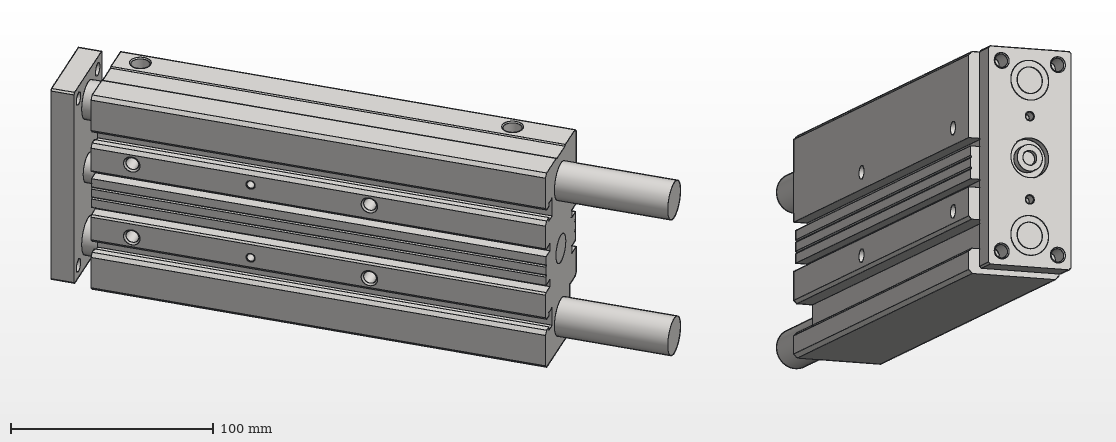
import cadquery as cq
import math


total_length = 318.0
body_width = 48.0
body_height = 112.0
body_start = 21.5
body_end = 259.0
body_chamfer = 2.0
body_length = body_end - body_start
half_width = body_width / 2
half_height = body_height / 2

top_recess_width = 14.0
top_recess_depth = 0.5

t_slot_z = 31.5
t_slot_mouth = 6.5
t_slot_inside = 10.2
t_slot_lip = 5.5
t_slot_depth = 10.5
t_slot_chamfer = 2.0

wide_slot_z = -36.0
wide_slot_width = 14.5
wide_slot_depth = 10.0
wide_slot_chamfer = 1.5

band_height = 16.5
band_setback = 1.0
v_groove_z = 3.0
v_groove_depth = 0.5
sensor_groove_width = 4.0
sensor_groove_depth = 7.0
sensor_groove_chamfer = 1.0
sensor_groove_z = (band_height + sensor_groove_width) / 2

side_hole_z = 21.0
mount_hole_x = (43.0, 167.0)
mount_hole_diameter = 6.7
mount_hole_mouth = 8.5
pin_hole_x = sum(mount_hole_x) / 2
pin_hole_diameter = 4.0
pin_hole_mouth = 4.8
pin_hole_depth = 6.0

port_x = (34.5, 228.5)
port_y = 15.0
port_diameter = 9.5
port_mouth = 10.8
port_depth = 8.0
port_passage_diameter = 3.8
port_passage_depth = 16.0
drill_point_angle = 118.0

plate_thickness = 12.0
plate_width = 44.0
plate_height = 110.0
plate_chamfer = 1.0
corner_hole_y = 15.0
corner_hole_z = 48.0
corner_hole_diameter = 6.7
corner_hole_mouth = 8.0

guide_z = 39.0
guide_diameter = 20.0
piston_rod_diameter = 15.3
rod_neck_diameter = 13.5
rod_seat_diameter = 20.0
guide_seat_depth = 0.3
piston_seat_depth = 4.8
piston_socket_diameter = 7.3
piston_socket_depth = 3.0

rod_collar_diameter = 16.5
rod_collar_height = 0.5

along_x = cq.Vector(1, 0, 0)
along_y = cq.Vector(0, 1, 0)
down = cq.Vector(0, 0, -1)


def round_bar(diameter, length, start, direction):
    """Round bar or plain hole cutter."""
    return cq.Workplane(obj=cq.Solid.makeCylinder(diameter / 2, length, start, direction))


def x_bar(diameter, start_x, end_x, y=0.0, z=0.0):
    """Round bar along X between two X positions."""
    return round_bar(diameter, end_x - start_x, cq.Vector(start_x, y, z), along_x)


def drill_hole(diameter, depth, entry, direction):
    """Cutter for a blind hole with a conical drill point."""
    radius = diameter / 2
    point_length = radius / math.tan(math.radians(drill_point_angle / 2))
    point = cq.Solid.makeCone(radius, 0, point_length, entry + direction * depth, direction)
    return round_bar(diameter, depth, entry, direction).union(cq.Workplane(obj=point))


def mouth_chamfer(diameter, mouth, entry, direction):
    """Cutter for a 45 degree chamfer that widens a hole to its mouth diameter."""
    depth = (mouth - diameter) / 2
    return cq.Workplane(obj=cq.Solid.makeCone(mouth / 2, diameter / 2, depth, entry, direction))


def pin_hole(entry, direction):
    """Cutter for a blind pin hole with a chamfered mouth."""
    hole = drill_hole(pin_hole_diameter, pin_hole_depth, entry, direction)
    return hole.union(mouth_chamfer(pin_hole_diameter, pin_hole_mouth, entry, direction))


def body_prism(yz_points):
    """Prism with the given YZ outline along the whole body."""
    return cq.Workplane("YZ", origin=(body_start, 0, 0)).polyline(yz_points).close().extrude(body_length)


def side_slot(side, z, profile):
    """Slot in a Y side face (side is -1 or 1), symmetric about z, from (depth, half height) pairs."""
    upper = [(side * (half_width - depth), z + half) for depth, half in profile]
    lower = [(side * (half_width - depth), z - half) for depth, half in reversed(profile)]
    return body_prism(upper + lower)


def top_recess():
    half_mouth = top_recess_width / 2
    half_floor = half_mouth - top_recess_depth
    floor_z = half_height - top_recess_depth
    return body_prism(
        [(-half_mouth, half_height), (-half_floor, floor_z), (half_floor, floor_z), (half_mouth, half_height)]
    )


def t_slot(z):
    half_mouth = t_slot_mouth / 2
    half_inside = t_slot_inside / 2
    profile = [
        (0, half_mouth + t_slot_chamfer),
        (t_slot_chamfer, half_mouth),
        (t_slot_lip, half_mouth),
        (t_slot_lip, half_inside),
        (t_slot_depth, half_inside),
    ]
    return side_slot(-1, z, profile)


def wide_slot():
    half_mouth = wide_slot_width / 2
    profile = [
        (0, half_mouth + wide_slot_chamfer),
        (wide_slot_chamfer, half_mouth),
        (wide_slot_depth, half_mouth),
    ]
    return side_slot(1, wide_slot_z, profile)


def v_groove(side, z):
    """V groove with 45 degree flanks in the set-back band."""
    half_mouth = band_setback + v_groove_depth
    tip = (side * (half_width - half_mouth), z)
    return body_prism([(side * half_width, z + half_mouth), tip, (side * half_width, z - half_mouth)])


def sensor_groove(side, z):
    """Groove beside the band; on the -Y side its lip away from the band is chamfered."""
    face = side * half_width
    floor = side * (half_width - sensor_groove_depth)
    away = math.copysign(1, z)
    inner_z = z - away * sensor_groove_width / 2
    outer_z = z + away * sensor_groove_width / 2
    groove = body_prism([(face, inner_z), (floor, inner_z), (floor, outer_z), (face, outer_z)])
    if side > 0:
        return groove
    chamfer = body_prism(
        [
            (face, inner_z),
            (face, outer_z + away * sensor_groove_chamfer),
            (face - side * sensor_groove_chamfer, outer_z),
            (face - side * sensor_groove_chamfer, inner_z),
        ]
    )
    return groove.union(chamfer)


def cut_side_profile(body):
    """Cut the slots, band and grooves that run along the Y sides."""
    for z in (-t_slot_z, t_slot_z):
        body = body.cut(t_slot(z))
    body = body.cut(wide_slot())
    for side in (-1, 1):
        body = body.cut(side_slot(side, 0, [(0, band_height / 2), (band_setback, band_height / 2)]))
        for z in (-v_groove_z, v_groove_z):
            body = body.cut(v_groove(side, z))
        for z in (-sensor_groove_z, sensor_groove_z):
            body = body.cut(sensor_groove(side, z))
    return body


def cut_side_holes(body):
    """Cut the mounting and pin holes that enter the -Y side."""
    for z in (-side_hole_z, side_hole_z):
        for x in mount_hole_x:
            entry = cq.Vector(x, -half_width, z)
            body = body.cut(round_bar(mount_hole_diameter, body_width, entry, along_y))
            body = body.cut(mouth_chamfer(mount_hole_diameter, mount_hole_mouth, entry, along_y))
        body = body.cut(pin_hole(cq.Vector(pin_hole_x, -half_width, z), along_y))
    return body


def cut_ports(body):
    """Cut the air ports, each with a narrow passage below it."""
    for x in port_x:
        entry = cq.Vector(x, port_y, half_height)
        body = body.cut(drill_hole(port_diameter, port_depth, entry, down))
        body = body.cut(mouth_chamfer(port_diameter, port_mouth, entry, down))
        body = body.cut(round_bar(port_passage_diameter, port_passage_depth, entry, down))
    return body


def make_body():
    body = cq.Workplane("YZ", origin=(body_start, 0, 0)).rect(body_width, body_height).extrude(body_length)
    body = body.edges("|X").chamfer(body_chamfer)
    body = body.cut(top_recess())
    body = cut_side_profile(body)
    body = cut_side_holes(body)
    body = cut_ports(body)
    collar_start = body_start - rod_collar_height
    body = body.union(x_bar(rod_collar_diameter, collar_start, body_end))
    body = body.cut(x_bar(piston_rod_diameter, collar_start, body_end))
    for z in (-guide_z, guide_z):
        body = body.cut(x_bar(guide_diameter, body_start, body_end, z=z))
    return body


def make_plate():
    plate = cq.Workplane("YZ").rect(plate_width, plate_height).extrude(plate_thickness)
    plate = plate.edges("|X").chamfer(plate_chamfer)
    for y in (-corner_hole_y, corner_hole_y):
        for z in (-corner_hole_z, corner_hole_z):
            plate = plate.cut(x_bar(corner_hole_diameter, 0, plate_thickness, y, z))
            entry = cq.Vector(0, y, z)
            plate = plate.cut(mouth_chamfer(corner_hole_diameter, corner_hole_mouth, entry, along_x))
    for z in (-side_hole_z, side_hole_z):
        plate = plate.cut(pin_hole(cq.Vector(0, 0, z), along_x))
    for z, seat_depth in ((-guide_z, guide_seat_depth), (0, piston_seat_depth), (guide_z, guide_seat_depth)):
        plate = plate.cut(x_bar(rod_neck_diameter, 0, plate_thickness, z=z))
        plate = plate.cut(x_bar(rod_seat_diameter, 0, seat_depth, z=z))
    return plate


def make_rod(diameter, end_x, z):
    """Rod with a thinner neck that fills its hole in the plate."""
    neck = x_bar(rod_neck_diameter, 0, plate_thickness, z=z)
    return neck.union(x_bar(diameter, plate_thickness, end_x, z=z))


def make_piston_rod():
    rod = make_rod(piston_rod_diameter, body_end, 0)
    return rod.cut(x_bar(piston_socket_diameter, 0, piston_socket_depth))


body = make_body()
plate = make_plate()
guide_rods = [make_rod(guide_diameter, total_length, z) for z in (-guide_z, guide_z)]
piston_rod = make_piston_rod()

result = cq.Compound.makeCompound(
    [body.val(), plate.val(), *[rod.val() for rod in guide_rods], piston_rod.val()]
)